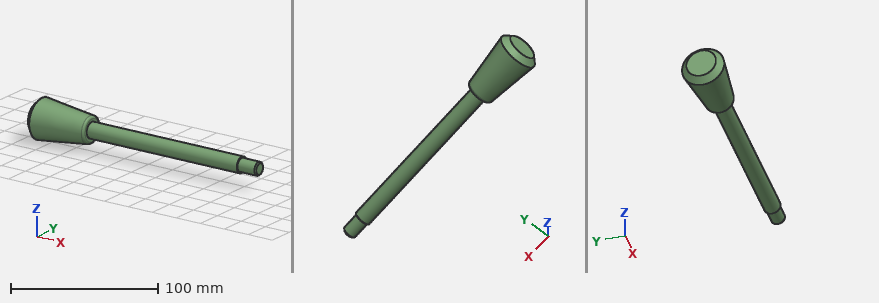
import cadquery as cq

knob_length = 46.0
shaft_length = 125.0
tip_length = 15.0

knob_diameter = 30.0
knob_face_diameter = 21.0
knob_neck_diameter = 20.0
knob_neck_fillet = 2.0

shaft_diameter = 12.0
tip_diameter = 10.0
tip_chamfer = 1.0

knob_bevel = (knob_diameter - knob_face_diameter) / 2
shaft_end = knob_length + shaft_length


def make_knob():
    """Tapered grip, bevelled at the wide end and rounded at the shaft end."""
    outline = [
        (0, 0),
        (0, knob_face_diameter / 2),
        (knob_bevel, knob_diameter / 2),
        (knob_length, knob_neck_diameter / 2),
        (knob_length, 0),
    ]
    knob = cq.Workplane("XY").polyline(outline).close().revolve(360, (0, 0, 0), (1, 0, 0))
    return knob.faces(">X").edges().fillet(knob_neck_fillet)


def make_rod(start, length, diameter):
    """Round bar along X beginning at the given station."""
    return cq.Workplane("YZ", origin=(start, 0, 0)).circle(diameter / 2).extrude(length)


def make_tip():
    """Reduced end of the shaft with a chamfered rim."""
    return make_rod(shaft_end, tip_length, tip_diameter).faces(">X").edges().chamfer(tip_chamfer)


shaft = make_rod(knob_length, shaft_length, shaft_diameter)
result = make_knob().union(shaft).union(make_tip())